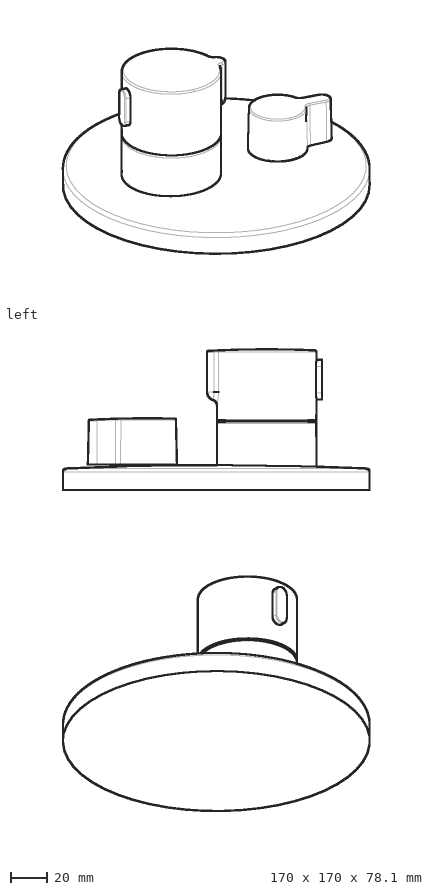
import cadquery as cq
import math

plate_radius = 85.0
plate_edge_height = 12.0
plate_apex_height = 13.9
plate_rim_fillet = 2.0

control_y = -27.9
control_radius = 27.6
collar_top = 37.9
collar_fillet = 1.0
shadow_gap = 0.7
neck_radius = 23.0
knob_apex = 78.08
knob_bottom = collar_top + shadow_gap
knob_top_fillet = 1.0

cap_dome_radius = 580.0
envelope_margin = 1.0

tab_radius = 4.8
tab_reach = 33.1
tab_ball_z = 54.4
tab_neck_fillet = 3.0

button_width = 7.6
button_length = 22.2
button_center_z = 61.2
button_reach = 30.75
button_fillet = 0.5

handle_y = 38.2
handle_radius = 16.5
handle_bottom = 14.1
handle_apex = 39.9
handle_taper_deg = 1.3
handle_top_fillet = 0.8
handle_foot_radius = 15.0
lever_half_width = 5.2
lever_reach = 33.0
lever_neck_fillet = 3.0


def cap_sphere_radius(radius, apex, edge_height):
    """Sphere radius of a cap that falls from apex to edge_height at the given radius."""
    sag = apex - edge_height
    return (radius ** 2 + sag ** 2) / (2 * sag)


def domed_envelope(radius, apex, sphere_radius):
    """Round block standing on Z = 0 whose top is a shallow spherical cap."""
    mid_sag = sphere_radius - math.sqrt(sphere_radius ** 2 - (radius / 2) ** 2)
    edge_sag = sphere_radius - math.sqrt(sphere_radius ** 2 - radius ** 2)
    return (
        cq.Workplane("XZ")
        .lineTo(radius, 0)
        .lineTo(radius, apex - edge_sag)
        .threePointArc((radius / 2, apex - mid_sag), (0, apex))
        .close()
        .revolve(360, (0, 0), (0, 1))
    )


def toward(start, end, distance):
    """Point on the line from start to end, at the given distance from start."""
    length = math.dist(start, end)
    return tuple(a + (b - a) * distance / length for a, b in zip(start, end))


def pointer_outline(body_radius, tip_radius, reach, blend_radius):
    """Circle with a round-ended pointer along +Y, blended into it by two concave arcs."""
    tip_center = (0, reach - tip_radius)
    blend_to_body = body_radius + blend_radius
    blend_to_tip = tip_radius + blend_radius
    blend_y = math.sqrt(blend_to_body ** 2 - blend_to_tip ** 2)
    blend_x = blend_to_tip
    if blend_y > tip_center[1]:
        tip_y = tip_center[1]
        blend_y = (blend_to_body ** 2 - blend_to_tip ** 2 + tip_y ** 2) / (2 * tip_y)
        blend_x = math.sqrt(blend_to_body ** 2 - blend_y ** 2)
        side_end = tip_start = toward(tip_center, (blend_x, blend_y), tip_radius)
    else:
        side_end = (tip_radius, blend_y)
        tip_start = (tip_radius, tip_center[1])
    blend_center = (blend_x, blend_y)
    body_end = toward((0, 0), blend_center, body_radius)
    chord_mid = tuple((a + b) / 2 for a, b in zip(body_end, side_end))
    blend_mid = toward(blend_center, chord_mid, blend_radius)

    def mirrored(point):
        return (-point[0], point[1])

    outline = (
        cq.Workplane("XY")
        .moveTo(*mirrored(body_end))
        .threePointArc((0, -body_radius), body_end)
        .threePointArc(blend_mid, side_end)
    )
    if tip_start != side_end:
        outline = outline.lineTo(*tip_start)
    outline = outline.threePointArc((0, reach), mirrored(tip_start))
    if tip_start != side_end:
        outline = outline.lineTo(*mirrored(side_end))
    return outline.threePointArc(mirrored(blend_mid), mirrored(body_end)).close()


def make_plate():
    dome = cap_sphere_radius(plate_radius, plate_apex_height, plate_edge_height)
    plate = domed_envelope(plate_radius, plate_apex_height, dome)
    return plate.faces(">Z").edges().fillet(plate_rim_fillet)


def make_collar():
    collar = cq.Workplane("XY").circle(control_radius).extrude(collar_top)
    collar = collar.faces(">Z").edges().fillet(collar_fillet)
    neck = cq.Workplane("XY").circle(neck_radius).extrude(knob_bottom)
    return collar.union(neck)


def make_knob_lower(height):
    """Knob body up to the tab's ball center, with the ball blended into the wall."""
    blend_room = 2 * tab_radius
    body = cq.Workplane("XY").circle(control_radius).extrude(height + blend_room)
    tab = cq.Workplane("XY").circle(tab_radius).extrude(blend_room)
    tab = tab.union(cq.Workplane("XY").sphere(tab_radius))
    knob = body.union(tab.translate((0, tab_reach - tab_radius, height)))
    near_tab = cq.selectors.BoxSelector(
        (-blend_room, 0, 0),
        (blend_room, tab_reach, height + blend_room),
    )
    knob = knob.edges(near_tab).edges("not %CIRCLE").fillet(tab_neck_fillet)
    slab_side = 3 * control_radius
    slab = cq.Workplane("XY").rect(slab_side, slab_side).extrude(height)
    return knob.intersect(slab)


def make_knob_upper(height):
    """Domed knob top whose outline carries the pointer tab."""
    upper = pointer_outline(control_radius, tab_radius, tab_reach, tab_neck_fillet)
    upper = upper.extrude(height)
    envelope = domed_envelope(tab_reach + envelope_margin, height, cap_dome_radius)
    return upper.intersect(envelope).faces(">Z").edges().fillet(knob_top_fillet)


def make_knob():
    lower_height = tab_ball_z - knob_bottom
    upper = make_knob_upper(knob_apex - tab_ball_z)
    knob = make_knob_lower(lower_height).union(upper.translate((0, 0, lower_height)))
    return knob.translate((0, 0, knob_bottom))


def make_button():
    return (
        cq.Workplane("XZ")
        .center(0, button_center_z)
        .slot2D(button_length, button_width, 90)
        .extrude(button_reach)
        .faces("<Y")
        .edges()
        .fillet(button_fillet)
    )


def make_handle():
    height = handle_apex - handle_bottom
    handle = pointer_outline(handle_radius, lever_half_width, lever_reach, lever_neck_fillet)
    handle = handle.extrude(height, taper=handle_taper_deg)
    handle = handle.intersect(domed_envelope(lever_reach + envelope_margin, height, cap_dome_radius))
    handle = handle.faces(">Z").edges().fillet(handle_top_fillet)
    handle = handle.translate((0, 0, handle_bottom))
    foot = cq.Workplane("XY").circle(handle_foot_radius).extrude(handle_bottom)
    return handle.union(foot)


control = make_collar().union(make_knob()).union(make_button())
result = (
    make_plate()
    .union(control.translate((0, control_y, 0)))
    .union(make_handle().translate((0, handle_y, 0)))
)